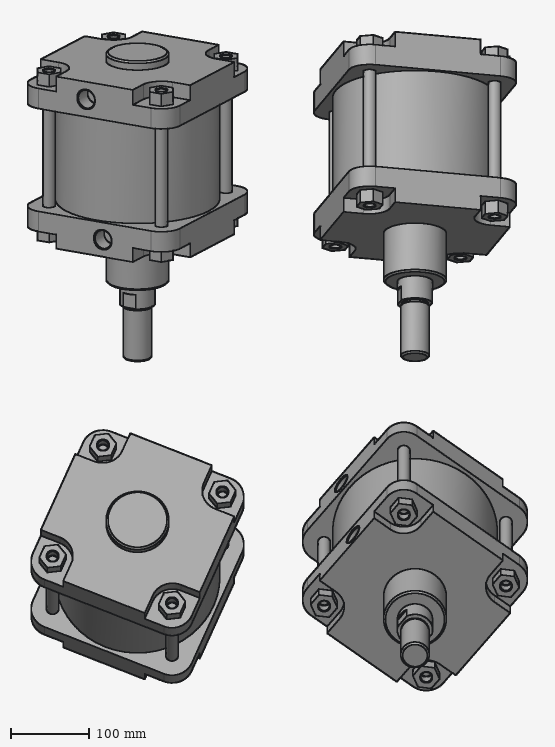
import cadquery as cq
import math


CAP_SIDE = 220.0
FLANGE_THICKNESS = 27.0
CORNER_RADIUS = 27.5
POCKET_SIDE = 53.5
UPPER_POCKET_DEPTH = 20.0
LOWER_POCKET_DEPTH = 19.0
UPPER_CAP_HEIGHT = FLANGE_THICKNESS + UPPER_POCKET_DEPTH
LOWER_CAP_HEIGHT = FLANGE_THICKNESS + LOWER_POCKET_DEPTH

BOSS_DIAMETER = 80.0
BOSS_CHAMFER = 2.5
UPPER_BOSS_LENGTH = 11.5
NECK_LENGTH = 65.0

PORT_DIAMETER = 24.0
PORT_DEPTH = 24.5
PORT_CHAMFER = 1.2
PORT_OFFSET = 12.3

BARREL_DIAMETER = 210.2
BARREL_LENGTH = 137.5

TIE_ROD_DIAMETER = 16.0
TIE_ROD_OFFSET = CAP_SIDE / 2 - CORNER_RADIUS
HEAD_FLATS = 30.0
HEAD_CORNERS = HEAD_FLATS / math.cos(math.pi / 6)
HEAD_HEIGHT = 16.8
SOCKET_DIAMETER = 14.0
SOCKET_DEPTH = HEAD_HEIGHT
SOCKET_CHAMFER = 1.02

COLLAR_DIAMETER = 45.0
COLLAR_LENGTH = 11.0
FLATS_WIDTH = 41.0
FLATS_LENGTH = 19.0
GROOVE_DIAMETER = 34.5
GROOVE_LENGTH = 2.5
END_DIAMETER = 36.5
END_LENGTH = 70.0
END_TOP_CHAMFER = (END_DIAMETER - GROOVE_DIAMETER) / 2
END_TIP_CHAMFER = 2.5

BARREL_BOTTOM = LOWER_CAP_HEIGHT
BARREL_TOP = BARREL_BOTTOM + BARREL_LENGTH
TIE_ROD_BOTTOM = BARREL_BOTTOM - FLANGE_THICKNESS
TIE_ROD_TOP = BARREL_TOP + FLANGE_THICKNESS

CORNER_SIGNS = [(1, 1), (-1, 1), (-1, -1), (1, -1)]
TIE_ROD_POSITIONS = [(sx * TIE_ROD_OFFSET, sy * TIE_ROD_OFFSET) for sx, sy in CORNER_SIGNS]


def cylinder(diameter, bottom, height):
    """Vertical cylinder on the Z axis."""
    return cq.Workplane("XY").workplane(offset=bottom).circle(diameter / 2).extrude(height)


def chamfered_hole_cutter(diameter, depth, chamfer):
    """Hole shape with a widened mouth at Z = 0, running down along -Z."""
    radius = diameter / 2
    profile = [
        (0, 0),
        (radius + chamfer, 0),
        (radius, -chamfer),
        (radius, -depth),
        (0, -depth),
    ]
    return cq.Workplane("XZ").polyline(profile).close().revolve(360, (0, 0, 0), (0, 1, 0))


def make_cap(height, boss_length, port_x):
    """Cap with its inner face at Z = 0 and its boss pointing up."""
    cap = cq.Workplane("XY").rect(CAP_SIDE, CAP_SIDE).extrude(height)
    cap = cap.edges("|Z").fillet(CORNER_RADIUS)

    pockets = (
        cq.Workplane("XY")
        .workplane(offset=FLANGE_THICKNESS)
        .rect(CAP_SIDE, CAP_SIDE, forConstruction=True)
        .vertices()
        .rect(2 * POCKET_SIDE, 2 * POCKET_SIDE)
        .extrude(height - FLANGE_THICKNESS)
        .edges("|Z")
        .fillet(CORNER_RADIUS)
    )
    cap = cap.cut(pockets)

    boss = cylinder(BOSS_DIAMETER, height, boss_length)
    cap = cap.union(boss.faces(">Z").chamfer(BOSS_CHAMFER))

    tie_rod_holes = (
        cq.Workplane("XY")
        .pushPoints(TIE_ROD_POSITIONS)
        .circle(TIE_ROD_DIAMETER / 2)
        .extrude(height)
    )
    cap = cap.cut(tie_rod_holes)

    port = (
        chamfered_hole_cutter(PORT_DIAMETER, PORT_DEPTH, PORT_CHAMFER)
        .rotate((0, 0, 0), (1, 0, 0), 90)
        .translate((port_x, -CAP_SIDE / 2, height / 2))
    )
    return cap.cut(port)


def make_upper_cap():
    cap = make_cap(UPPER_CAP_HEIGHT, UPPER_BOSS_LENGTH, -PORT_OFFSET)
    return cap.translate((0, 0, BARREL_TOP))


def make_lower_cap():
    """Cap with a long neck, mirrored to point down."""
    cap = make_cap(LOWER_CAP_HEIGHT, NECK_LENGTH, PORT_OFFSET)
    return cap.mirror("XY").translate((0, 0, BARREL_BOTTOM))


def make_barrel():
    return cylinder(BARREL_DIAMETER, BARREL_BOTTOM, BARREL_LENGTH)


def make_tie_rod(x, y):
    """Rod through both caps, with a socketed hexagonal head on each end."""
    rod = cylinder(TIE_ROD_DIAMETER, TIE_ROD_BOTTOM, TIE_ROD_TOP - TIE_ROD_BOTTOM)
    socket = chamfered_hole_cutter(SOCKET_DIAMETER, SOCKET_DEPTH, SOCKET_CHAMFER)
    head = cq.Workplane("XY").polygon(6, HEAD_CORNERS).extrude(HEAD_HEIGHT)
    head = head.cut(socket.translate((0, 0, HEAD_HEIGHT)))
    rod = rod.union(head.translate((0, 0, TIE_ROD_TOP)))
    rod = rod.union(head.mirror("XY").translate((0, 0, TIE_ROD_BOTTOM)))
    return rod.translate((x, y, 0))


def make_piston_rod():
    """Collar, section with two wrench flats, groove and plain end, from the neck down."""
    collar_bottom = -NECK_LENGTH - COLLAR_LENGTH
    flats_bottom = collar_bottom - FLATS_LENGTH
    groove_bottom = flats_bottom - GROOVE_LENGTH
    tip = groove_bottom - END_LENGTH

    collar = cylinder(COLLAR_DIAMETER, collar_bottom, COLLAR_LENGTH)
    flats_slab = (
        cq.Workplane("XY")
        .workplane(offset=flats_bottom)
        .rect(COLLAR_DIAMETER, FLATS_WIDTH)
        .extrude(FLATS_LENGTH)
    )
    flats = cylinder(COLLAR_DIAMETER, flats_bottom, FLATS_LENGTH).intersect(flats_slab)
    groove = cylinder(GROOVE_DIAMETER, groove_bottom, GROOVE_LENGTH)
    end = cylinder(END_DIAMETER, tip, END_LENGTH)
    end = end.faces(">Z").chamfer(END_TOP_CHAMFER)
    end = end.faces("<Z").chamfer(END_TIP_CHAMFER)
    return collar.union(flats).union(groove).union(end)


upper_cap = make_upper_cap()
lower_cap = make_lower_cap()
barrel = make_barrel()
piston_rod = make_piston_rod()
tie_rods = [make_tie_rod(x, y) for x, y in TIE_ROD_POSITIONS]

result = cq.Compound.makeCompound(
    [
        upper_cap.val(),
        lower_cap.val(),
        barrel.val(),
        piston_rod.val(),
        *[tie_rod.val() for tie_rod in tie_rods],
    ]
)